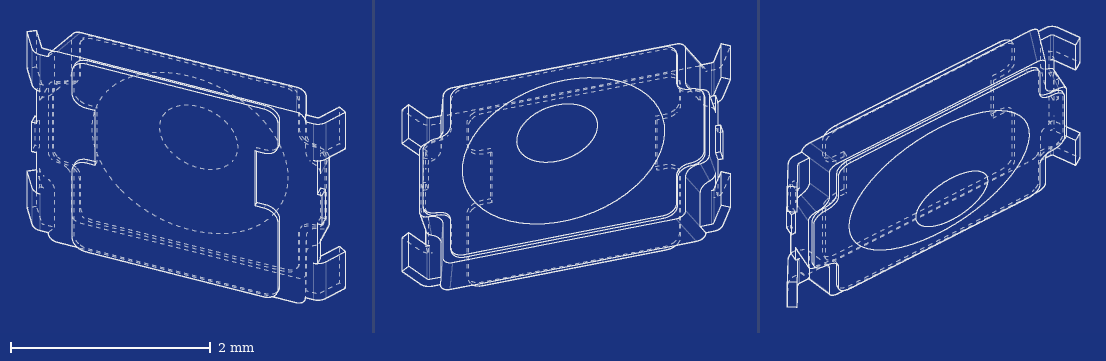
import cadquery as cq
import math

pad_thickness = 0.05
housing_thickness = 0.347
film_thickness = 0.035
dome_rise = 0.248

housing_half_x = 1.5
housing_height = 2.6
housing_half_z = housing_height / 2
base_thickness = 0.1
corner_radius = 0.1
wall_half_x_bottom = 1.375
wall_half_x_top = 1.255
shoulder_start_z = 0.45
shoulder_turn_z = 0.55
shoulder_turn_x_bottom = 1.452
shoulder_turn_x_top = 1.408

terminal_inner_z = 0.7
terminal_outer_z = 1.2
terminal_root_x = 1.19
terminal_tip_x = 1.7
terminal_tip_height = 0.272
bend_angle = 58.0
bend_inner_radius = 0.03

tab_half_x = 1.55
tab_half_z = 0.2
tab_centre_z = 0.05

pad_half_x = 1.098
pad_half_z = 1.282
pad_corner_radius = 0.15
notch_half_x = 0.855
notch_top_z = 0.68
notch_bottom_z = -0.068

film_half_x = 1.455
film_half_z = 1.255
film_radius = 0.143

dome_base_radius = 1.047
dome_top_radius = 0.418


def block(half_x, half_z, thickness, bottom_y=0):
    """Box centred on X and Z that reaches from bottom_y up to bottom_y + thickness."""
    sketch = cq.Workplane("XZ", origin=(0, bottom_y, 0))
    return sketch.rect(2 * half_x, 2 * half_z).extrude(-thickness)


def on_all_corners(feature):
    """Repeat a feature of the +X +Z corner at all four corners."""
    pair = feature.union(feature.mirror("YZ"))
    return pair.union(pair.mirror("XY"))


def corner_section(y, half_x, half_z, wall_x, turn_x, shoulder_z, radius):
    """Closed wire around the space left free at the +X +Z corner of a layer, at height y.

    The edge runs from the side at half_x through an S-shaped shoulder to the wall at wall_x,
    then around a corner of the given radius to the end at half_z.
    The shoulder_z values are the start, turning point and end of the S.
    """
    start_z, turn_z, end_z = shoulder_z
    outside_x = half_x + radius
    outside_z = half_z + radius
    towards_end = cq.Vector(0, 0, 1)
    shoulder_start = cq.Vector(half_x, y, start_z)
    shoulder_turn = cq.Vector(turn_x, y, turn_z)
    wall_start = cq.Vector(wall_x, y, end_z)
    wall_end = cq.Vector(wall_x, y, half_z - radius)
    corner_end = cq.Vector(wall_x - radius, y, half_z)
    rim = [
        corner_end,
        cq.Vector(corner_end.x, y, outside_z),
        cq.Vector(outside_x, y, outside_z),
        cq.Vector(outside_x, y, start_z),
        shoulder_start,
    ]
    edges = [
        cq.Edge.makeTangentArc(shoulder_start, towards_end, shoulder_turn),
        cq.Edge.makeTangentArc(wall_start, -towards_end, shoulder_turn),
        cq.Edge.makeLine(wall_start, wall_end),
        cq.Edge.makeTangentArc(wall_end, towards_end, corner_end),
    ]
    edges += [cq.Edge.makeLine(first, second) for first, second in zip(rim, rim[1:])]
    return cq.Wire.assembleEdges(edges)


def corner_space(bottom_section, top_section):
    """Ruled solid between two corner sections."""
    return cq.Workplane(cq.Solid.makeLoft([bottom_section, top_section], True))


def make_housing():
    shoulder_z = (shoulder_start_z, shoulder_turn_z, terminal_inner_z)
    bottom_section = corner_section(
        0, housing_half_x, housing_half_z,
        wall_half_x_bottom, shoulder_turn_x_bottom, shoulder_z, corner_radius,
    )
    top_section = corner_section(
        housing_thickness, housing_half_x, housing_half_z,
        wall_half_x_top, shoulder_turn_x_top, shoulder_z, corner_radius,
    )
    corners = on_all_corners(corner_space(bottom_section, top_section))
    body = block(housing_half_x, housing_half_z, housing_thickness).cut(corners)
    base = block(housing_half_x, terminal_inner_z, base_thickness)
    tabs = block(tab_half_x, tab_half_z, base_thickness).translate((0, 0, tab_centre_z))
    return body.union(base).union(tabs)


def make_terminals():
    """Strip along X, bent up through the bend angle and ending in a square-cut tip."""
    angle = math.radians(bend_angle)
    cosine = math.cos(angle)
    sine = math.sin(angle)
    outer_radius = bend_inner_radius + base_thickness
    outer_corner_x = terminal_tip_x - terminal_tip_height / math.tan(angle)
    inner_tip = (terminal_tip_x - base_thickness * sine, terminal_tip_height + base_thickness * cosine)
    bend_x = outer_corner_x - outer_radius * math.tan(angle / 2)
    outer_bend_end = (bend_x + outer_radius * sine, outer_radius * (1 - cosine))
    inner_bend_end = (bend_x + bend_inner_radius * sine, outer_radius - bend_inner_radius * cosine)
    inner_bend_middle = (
        bend_x + bend_inner_radius * math.sin(angle / 2),
        outer_radius - bend_inner_radius * math.cos(angle / 2),
    )
    strip = (
        cq.Workplane("XY", origin=(0, 0, terminal_inner_z))
        .moveTo(terminal_root_x, 0)
        .lineTo(bend_x, 0)
        .tangentArcPoint(outer_bend_end, relative=False)
        .lineTo(terminal_tip_x, terminal_tip_height)
        .lineTo(*inner_tip)
        .lineTo(*inner_bend_end)
        .threePointArc(inner_bend_middle, (bend_x, base_thickness))
        .lineTo(terminal_root_x, base_thickness)
        .close()
        .extrude(terminal_outer_z - terminal_inner_z)
    )
    return on_all_corners(strip)


def make_pad():
    """Solder pad under the housing; its outer corners and the notch mouths are rounded."""
    pad = block(pad_half_x, pad_half_z, pad_thickness, -pad_thickness)
    notch_depth = pad_half_x - notch_half_x
    notch_height = notch_top_z - notch_bottom_z
    notch_centre_z = (notch_top_z + notch_bottom_z) / 2
    for side in (-1, 1):
        notch_centre_x = side * (notch_half_x + notch_depth / 2)
        notch = block(notch_depth / 2, notch_height / 2, pad_thickness, -pad_thickness)
        pad = pad.cut(notch.translate((notch_centre_x, 0, notch_centre_z)))
    for side_faces in ("<X", ">X"):
        pad = pad.faces(side_faces).edges("|Y").fillet(pad_corner_radius)
    return pad


def make_film():
    """Thin film on top of the housing with its four corners stepped in and rounded."""
    film_top = housing_thickness + film_thickness
    shoulder_z = (
        shoulder_turn_z - film_radius,
        shoulder_turn_z,
        shoulder_turn_z + film_radius,
    )
    bottom_section, top_section = [
        corner_section(
            y, film_half_x, film_half_z,
            film_half_x - 2 * film_radius, film_half_x - film_radius, shoulder_z, film_radius,
        )
        for y in (housing_thickness, film_top)
    ]
    corners = on_all_corners(corner_space(bottom_section, top_section))
    return block(film_half_x, film_half_z, film_thickness, housing_thickness).cut(corners)


def make_dome():
    """Flat-topped cone on the film."""
    base_y = housing_thickness + film_thickness
    cone = cq.Solid.makeCone(
        dome_base_radius, dome_top_radius, dome_rise, cq.Vector(0, base_y, 0), cq.Vector(0, 1, 0)
    )
    return cq.Workplane(cone)


result = (
    make_housing()
    .union(make_terminals())
    .union(make_pad())
    .union(make_film())
    .union(make_dome())
)